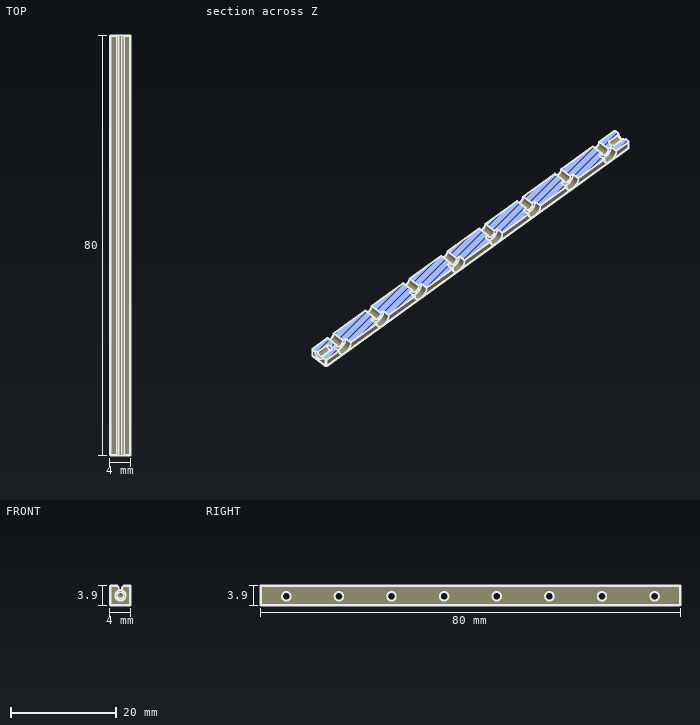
import cadquery as cq
import math

length = 80.0
width = 4.0
height = 3.9
edge_chamfer = 0.2

groove_mouth_width = 1.4
groove_slot_width = 0.6
groove_depth = 0.9

hole_count = 8
hole_pitch = length / hole_count
hole_diameter = 1.6
counterbore_diameter = 3.0
counterbore_depth = 1.4
hole_height = -0.2

end_hole_diameter = 1.3
end_hole_depth = 2.8
end_hole_height = 0.0
end_countersink_diameter = 2.0
end_countersink_angle = 90.0
end_drill_point_angle = 118.0


def rail_body():
    """Bar with every outer edge chamfered."""
    return cq.Workplane("XY").box(width, length, height).edges().chamfer(edge_chamfer)


def groove():
    """Cutter for the full-length groove, open at the top."""
    top = height / 2
    mouth = groove_mouth_width / 2
    slot = groove_slot_width / 2
    bevel = mouth - slot
    outline = [
        (-mouth, top),
        (-slot, top - bevel),
        (-slot, top - groove_depth),
        (slot, top - groove_depth),
        (slot, top - bevel),
        (mouth, top),
    ]
    return cq.Workplane("XZ").polyline(outline).close().extrude(length / 2, both=True)


def mounting_hole(y):
    """Cutter for one counterbored hole through the width."""
    entry = cq.Plane(origin=(-width / 2, y, hole_height), xDir=(0, 1, 0), normal=(1, 0, 0))
    bore = cq.Workplane(entry).circle(hole_diameter / 2).extrude(width)
    counterbore = cq.Workplane(entry).circle(counterbore_diameter / 2).extrude(counterbore_depth)
    return bore.union(counterbore)


def end_hole(side):
    """Cutter for one end hole, at -Y for side -1 and at +Y for side +1."""
    bore = end_hole_diameter / 2
    mouth = end_countersink_diameter / 2
    countersink_depth = (mouth - bore) / math.tan(math.radians(end_countersink_angle / 2))
    tip_length = bore / math.tan(math.radians(end_drill_point_angle / 2))
    half_section = [
        (0, 0),
        (mouth, 0),
        (bore, countersink_depth),
        (bore, end_hole_depth),
        (0, end_hole_depth + tip_length),
    ]
    inward = cq.Plane(origin=(0, side * length / 2, end_hole_height), xDir=(1, 0, 0), normal=(0, 0, -side))
    return cq.Workplane(inward).polyline(half_section).close().revolve(360, (0, 0, 0), (0, 1, 0))


result = rail_body().cut(groove())
for side in (-1, 1):
    result = result.cut(end_hole(side))
for i in range(hole_count):
    result = result.cut(mounting_hole((i - (hole_count - 1) / 2) * hole_pitch))